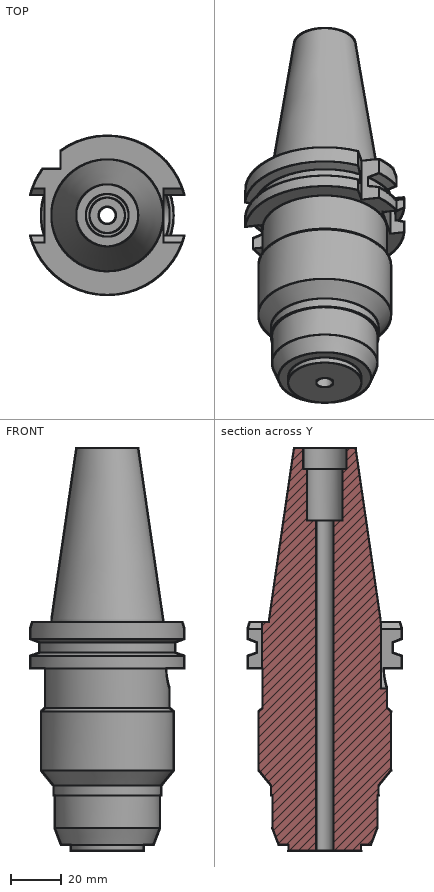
import cadquery as cq

total_height = 160.4
gauge_height = 92.0
flange_top = 91.1
groove_top = 84.4
groove_neck_top = 83.0
groove_neck_bottom = 78.9
groove_bottom = 77.6
flange_bottom = 72.7
body_shoulder_top = 57.0
body_shoulder_bottom = 55.5
body_bottom = 32.0
body_cone_bottom = 26.0
nose_top = 22.1
nose_bottom = 9.1
nose_cone_bottom = 2.4

taper_small_radius = 12.4
taper_large_radius = 22.3
flange_radius = 31.8
groove_radius = 28.2
neck_radius = 24.9
body_radius = 26.5
nose_shoulder_radius = 21.5
nose_radius = 21.0
nose_end_radius = 18.5
end_boss_radius = 14.6

counterbore_radius = 8.5
counterbore_depth = 8.3
thread_radius = 7.0
thread_depth = 28.9
through_radius = 3.4

slot_width = 16.0
slot_chamfer = 2.7
left_slot_floor = 25.0
right_slot_floor = 22.5
notch_x = 18.6
notch_y = 18.6


def make_holder_body():
    """Revolve the outer profile, listed from the top down, around Z."""
    profile = [
        (0, total_height),
        (taper_small_radius, total_height),
        (taper_large_radius, gauge_height),
        (taper_large_radius, flange_top),
        (flange_radius, flange_top),
        (flange_radius, groove_top),
        (groove_radius, groove_neck_top),
        (groove_radius, groove_neck_bottom),
        (flange_radius, groove_bottom),
        (flange_radius, flange_bottom),
        (neck_radius, flange_bottom),
        (neck_radius, body_shoulder_top),
        (body_radius, body_shoulder_bottom),
        (body_radius, body_bottom),
        (nose_shoulder_radius, body_cone_bottom),
        (nose_shoulder_radius, nose_top),
        (nose_radius, nose_top),
        (nose_radius, nose_bottom),
        (nose_end_radius, nose_cone_bottom),
        (end_boss_radius, nose_cone_bottom),
        (end_boss_radius, 0),
        (0, 0),
    ]
    return cq.Workplane("XZ").polyline(profile).close().revolve(360, (0, 0), (0, 1))


def cylinder_down(radius, top, depth):
    return cq.Workplane("XY").workplane(offset=top).circle(radius).extrude(-depth)


def make_bore():
    """Counterbore, thread hole and central through hole."""
    counterbore = cylinder_down(counterbore_radius, total_height, counterbore_depth)
    thread_hole = cylinder_down(thread_radius, total_height, thread_depth)
    through_hole = cylinder_down(through_radius, total_height, total_height)
    return counterbore.union(thread_hole).union(through_hole)


def make_slot(floor, side):
    """Drive slot open outwards; side is -1 or +1 along X. Its lower end is a half round."""
    half_width = slot_width / 2
    mouth_half_width = half_width + slot_chamfer
    chamfer_bottom = flange_top - slot_chamfer
    return (
        cq.Workplane("YZ")
        .workplane(offset=side * floor)
        .moveTo(-mouth_half_width, flange_top)
        .lineTo(-half_width, chamfer_bottom)
        .lineTo(-half_width, flange_bottom)
        .threePointArc((0, flange_bottom - half_width), (half_width, flange_bottom))
        .lineTo(half_width, chamfer_bottom)
        .lineTo(mouth_half_width, flange_top)
        .close()
        .extrude(side * (flange_radius - floor))
    )


def make_notch():
    """Square notch through the flange at its -X, +Y corner."""
    return cq.Workplane("XY").box(
        flange_radius, flange_radius, flange_top - flange_bottom, centered=False
    ).translate((-notch_x - flange_radius, notch_y, flange_bottom))


result = make_holder_body().cut(make_bore()).cut(make_notch())
result = result.cut(make_slot(left_slot_floor, -1))
result = result.cut(make_slot(right_slot_floor, 1))